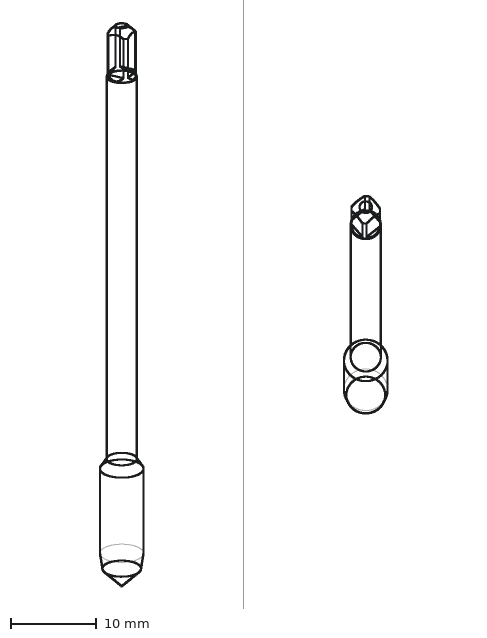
import cadquery as cq

TOTAL_LENGTH = 72.0

HEAD_DIAMETER = 5.1
LEAD_END_DIAMETER = 4.5
POINT_HEIGHT = LEAD_END_DIAMETER / 2
LEAD_TOP = 4.25
HEAD_BODY_TOP = 15.1
HEAD_TOP = 16.35

SHANK_DIAMETER = 3.5
DRIVE_DIAMETER = 3.4
DRIVE_WIDTH = 2.7
DRIVE_LENGTH = 6.0
RUNOUT_HEIGHT = 0.6
TIP_DIAMETER = 1.45


def revolve_profile(points):
    """Revolve a closed (radius, height) outline about the Z axis."""
    return cq.Workplane("XZ").polyline(points).close().revolve(360, (0, 0, 0), (0, 1, 0))


def make_head():
    """Pointed head with a tapered lead and a shoulder narrowing to the shank."""
    return revolve_profile([
        (0, 0),
        (LEAD_END_DIAMETER / 2, POINT_HEIGHT),
        (HEAD_DIAMETER / 2, LEAD_TOP),
        (HEAD_DIAMETER / 2, HEAD_BODY_TOP),
        (SHANK_DIAMETER / 2, HEAD_TOP),
        (0, HEAD_TOP),
    ])


def make_drive_prism():
    """Square prism whose four flats slope outward at the foot, clear of the round shank."""
    flats_bottom = TOTAL_LENGTH - DRIVE_LENGTH
    runout_slope = RUNOUT_HEIGHT / (SHANK_DIAMETER - DRIVE_WIDTH)
    flare_bottom = flats_bottom - runout_slope * (HEAD_DIAMETER - DRIVE_WIDTH)
    prism = (
        cq.Workplane("XY", origin=(0, 0, flats_bottom))
        .rect(DRIVE_WIDTH, DRIVE_WIDTH)
        .extrude(DRIVE_LENGTH)
    )
    flare = (
        cq.Workplane("XY", origin=(0, 0, flare_bottom))
        .rect(HEAD_DIAMETER, HEAD_DIAMETER)
        .workplane(offset=flats_bottom - flare_bottom)
        .rect(DRIVE_WIDTH, DRIVE_WIDTH)
        .loft(ruled=True)
    )
    lower_block = (
        cq.Workplane("XY", origin=(0, 0, HEAD_TOP))
        .rect(HEAD_DIAMETER, HEAD_DIAMETER)
        .extrude(flare_bottom - HEAD_TOP)
    )
    return prism.union(flare).union(lower_block)


def make_shank():
    """Round shank ending in a square drive with rounded corners and a chamfered end."""
    shank_radius = SHANK_DIAMETER / 2
    drive_radius = DRIVE_DIAMETER / 2
    tip_radius = TIP_DIAMETER / 2
    shank_top = TOTAL_LENGTH - DRIVE_LENGTH - RUNOUT_HEIGHT
    chamfer_bottom = TOTAL_LENGTH - (drive_radius - tip_radius)
    envelope = revolve_profile([
        (0, HEAD_TOP),
        (shank_radius, HEAD_TOP),
        (shank_radius, shank_top),
        (drive_radius, shank_top),
        (drive_radius, chamfer_bottom),
        (tip_radius, TOTAL_LENGTH),
        (0, TOTAL_LENGTH),
    ])
    return envelope.intersect(make_drive_prism())


head = make_head()
shank = make_shank()
result = cq.Compound.makeCompound([head.val(), shank.val()])